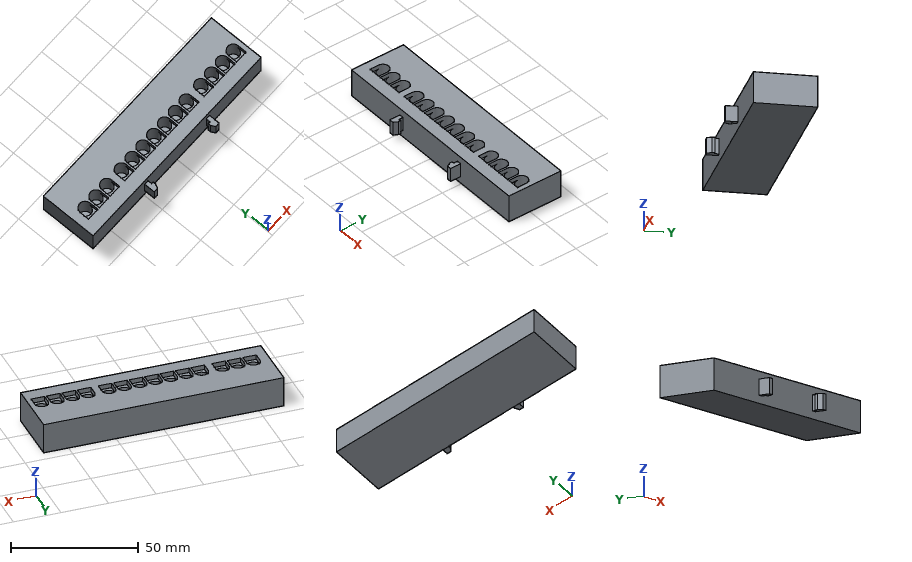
import cadquery as cq

LENGTH = 101.0
WIDTH = 25.9
HEIGHT = 13.0

CAVITY_DIAMETER = 5.6
CAVITY_PITCH = 6.5
CAVITY_CENTER_Y = 10.2
POCKET_FRONT_Y = 6.0
POCKET_DEPTH = 2.0
HOLE_DEPTH = 10.0
FIRST_CAVITY_X = 7.0
GROUP_SPACING = 8.75
GROUP_COUNTS = [3, 7, 4]

HOOK_REACH = 5.0
HOOK_HEIGHT = HEIGHT / 2
HOOK_STEM = 2.0
HOOK_LIP = 1.0
HOOK_LIP_START = 1.85
HOOK_BEVEL_START = 3.1
HOOK_OFFSET = 19.5


def make_block():
    """Plain housing block."""
    return cq.Workplane("XY").box(LENGTH, WIDTH, HEIGHT, centered=False)


def make_cavity(center_x):
    """Cutter for one cavity, sunk from the top face."""
    radius = CAVITY_DIAMETER / 2
    top = cq.Workplane("XY", origin=(center_x, 0, HEIGHT))
    pocket = (
        top.moveTo(-radius, POCKET_FRONT_Y)
        .lineTo(radius, POCKET_FRONT_Y)
        .lineTo(radius, CAVITY_CENTER_Y)
        .threePointArc((0, CAVITY_CENTER_Y + radius), (-radius, CAVITY_CENTER_Y))
        .close()
        .extrude(-POCKET_DEPTH)
    )
    hole = top.center(0, CAVITY_CENTER_Y).circle(radius).extrude(-HOLE_DEPTH)
    return pocket.union(hole)


def make_hook(outer_x, inward):
    """Latch hook with its flat back at outer_x; inward is +1 or -1 along X."""
    base_z = (HEIGHT - HOOK_HEIGHT) / 2
    lip_x = inward * (HOOK_STEM + HOOK_LIP)
    return (
        cq.Workplane("XY", origin=(outer_x, 0, base_z))
        .moveTo(0, 0)
        .lineTo(0, -HOOK_REACH)
        .lineTo(inward * HOOK_STEM, -HOOK_REACH)
        .lineTo(lip_x, -HOOK_BEVEL_START)
        .lineTo(lip_x, -HOOK_LIP_START)
        .lineTo(inward * HOOK_STEM, -HOOK_LIP_START)
        .lineTo(inward * HOOK_STEM, 0)
        .close()
        .extrude(HOOK_HEIGHT)
    )


def cavity_centers():
    """X positions of all the cavities, group after group."""
    centers = []
    group_x = FIRST_CAVITY_X
    for count in GROUP_COUNTS:
        centers += [group_x + index * CAVITY_PITCH for index in range(count)]
        group_x = centers[-1] + GROUP_SPACING
    return centers


result = make_block()

for inward in (1, -1):
    outer_x = LENGTH / 2 - inward * HOOK_OFFSET
    result = result.union(make_hook(outer_x, inward))

for center_x in cavity_centers():
    result = result.cut(make_cavity(center_x))